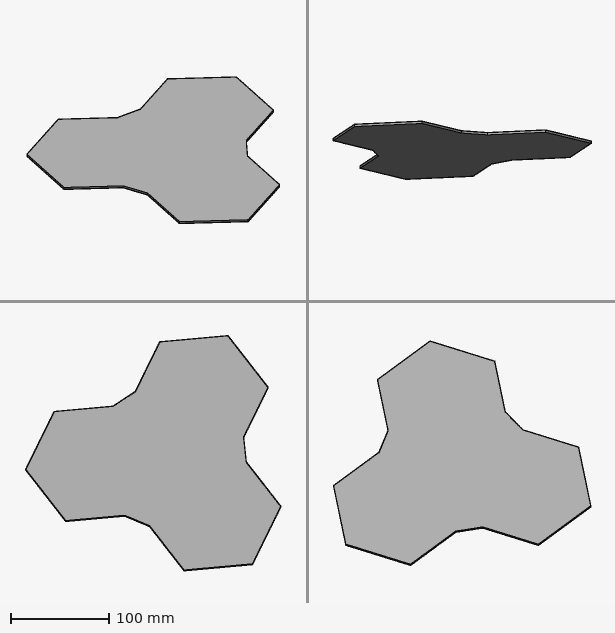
import cadquery as cq
import math

overall_width = 254.0
overall_length = 255.04
thickness = 2.54
bridge_distance = 78.2

hexagon_count = 3
hexagon_apothem = math.sqrt(3) * (overall_length - overall_width * math.sqrt(3) / 2)
hexagon_radius = 2 * hexagon_apothem / math.sqrt(3)
half_spacing = overall_width / 2 - hexagon_apothem
ring_radius = 2 * half_spacing / math.sqrt(3)

lower_corner_distance = ring_radius / 2 + hexagon_radius
bridge_half_length = half_spacing - (lower_corner_distance - bridge_distance) * math.sqrt(3)


def rotated(point, angle):
    """Turn a point about the plate centre by an angle in degrees."""
    x, y = point
    cosine = math.cos(math.radians(angle))
    sine = math.sin(math.radians(angle))
    return (x * cosine - y * sine, x * sine + y * cosine)


def plate_outline():
    """Corners of the plate, counter-clockwise, one third at a time."""
    lobe = [
        (bridge_half_length, -bridge_distance),
        (half_spacing, -lower_corner_distance),
        (half_spacing + hexagon_apothem, -ring_radius / 2 - hexagon_radius / 2),
        (half_spacing + hexagon_apothem, -ring_radius / 2 + hexagon_radius / 2),
    ]
    lobe_step = 360 / hexagon_count
    lobe.append(rotated((-bridge_half_length, -bridge_distance), lobe_step))
    return [rotated(point, i * lobe_step) for i in range(hexagon_count) for point in lobe]


result = cq.Workplane("XY").polyline(plate_outline()).close().extrude(thickness)